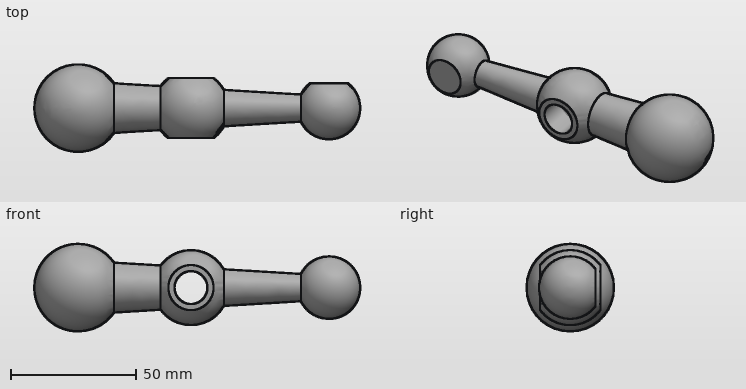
import cadquery as cq
import math

large_x = 0.0
hub_x = 45.0
small_x = 100.0

large_diameter = 35.0
hub_diameter = 30.0
small_diameter = 25.0

hub_flat_spacing = 24.0
small_flat_y = 10.0

bore_diameter = 13.0

arm_large_end_radius = 10.0
arm_small_end_radius = 5.5


def ball(center_x, diameter):
    return cq.Workplane("XY").sphere(diameter / 2).translate((center_x, 0, 0))


def flat_sided_ball(center_x, diameter, y_min, y_max):
    """Ball trimmed to the range y_min to y_max."""
    slab = (
        cq.Workplane("XY")
        .box(diameter, y_max - y_min, diameter)
        .translate((center_x, (y_min + y_max) / 2, 0))
    )
    return ball(center_x, diameter).intersect(slab)


def section_offset(diameter, section_radius):
    """Distance from a ball's centre to its circular section of the given radius."""
    return math.sqrt((diameter / 2) ** 2 - section_radius**2)


def tapered_arm():
    """One cone through the hub, with its ends buried in the large and small balls."""
    start_x = large_x + section_offset(large_diameter, arm_large_end_radius)
    end_x = small_x - section_offset(small_diameter, arm_small_end_radius)
    slope = (arm_small_end_radius - arm_large_end_radius) / (end_x - start_x)
    radius_at_large_center = arm_large_end_radius + slope * (large_x - start_x)
    radius_at_small_center = arm_small_end_radius + slope * (small_x - end_x)
    cone = cq.Solid.makeCone(
        radius_at_large_center,
        radius_at_small_center,
        small_x - large_x,
        cq.Vector(large_x, 0, 0),
        cq.Vector(1, 0, 0),
    )
    return cq.Workplane(cone)


def hub_bore():
    return (
        cq.Workplane("XZ", origin=(hub_x, 0, 0))
        .circle(bore_diameter / 2)
        .extrude(hub_flat_spacing / 2, both=True)
    )


large_ball = ball(large_x, large_diameter)
hub = flat_sided_ball(hub_x, hub_diameter, -hub_flat_spacing / 2, hub_flat_spacing / 2)
small_ball = flat_sided_ball(small_x, small_diameter, -small_diameter / 2, small_flat_y)

result = large_ball.union(tapered_arm()).union(hub).union(small_ball).cut(hub_bore())